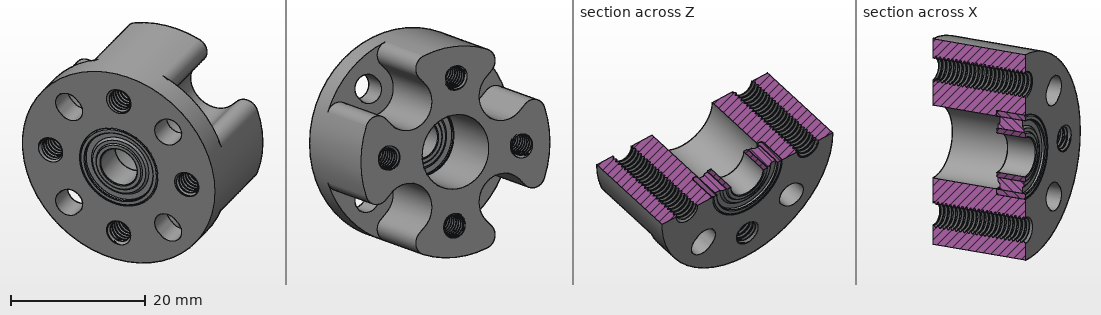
import cadquery as cq
import math

hub_radius = 16.0
hub_length = 16.0
flange_thickness = 4.0

bolt_pattern_side = 16.0
pitch_radius = bolt_pattern_side / math.sqrt(2)

notch_radius = 4.0
lobe_edge_radius = 2.0

slot_radius = 2.0
slot_travel = 0.65

thread_minor_radius = 1.63
thread_major_radius = 2.0
countersink_radius = 2.0
thread_pitch = 0.7
thread_root_flat = thread_pitch / 8
thread_mouth = thread_pitch * 0.8
thread_overlap = 0.05

bearing_radius = 6.5
bearing_width = 5.0
bearing_chamfer = 0.22
outer_ring_mouth_chamfer = 0.13
shield_radius = 5.63
inner_ring_radius = 3.87
inner_ring_chamfer = 0.2
bore_radius = 3.0
bore_chamfer = 0.13

shield_depth = 0.5
shield_lip_depth = 0.2
shield_cone_outer_radius = 4.77
shield_cone_inner_radius = 4.4

quarter_angles = [0, 90, 180, 270]
diagonal_angle = 45


def around_axis(shape, angle):
    """Turn a shape about the Y axis of the part."""
    return shape.rotate((0, 0, 0), (0, 1, 0), angle)


def make_notch():
    """U-shaped notch along +X whose mouth is rounded into the rim of the hub."""
    edge_center_z = notch_radius + lobe_edge_radius
    edge_center_distance = hub_radius - lobe_edge_radius
    edge_center_x = math.sqrt(edge_center_distance**2 - edge_center_z**2)
    edge_angle = math.atan2(edge_center_z, edge_center_x)

    rim_x = hub_radius * math.cos(edge_angle)
    rim_z = hub_radius * math.sin(edge_angle)
    middle_angle = (edge_angle - math.pi / 2) / 2
    middle_x = edge_center_x + lobe_edge_radius * math.cos(middle_angle)
    middle_z = edge_center_z + lobe_edge_radius * math.sin(middle_angle)
    outside_x = 2 * hub_radius - rim_x
    length = hub_length - flange_thickness

    return (
        cq.Workplane("XZ", origin=(0, flange_thickness, 0))
        .moveTo(pitch_radius, notch_radius)
        .lineTo(edge_center_x, notch_radius)
        .threePointArc((middle_x, middle_z), (rim_x, rim_z))
        .lineTo(outside_x, rim_z)
        .lineTo(outside_x, -rim_z)
        .lineTo(rim_x, -rim_z)
        .threePointArc((middle_x, -middle_z), (edge_center_x, -notch_radius))
        .lineTo(pitch_radius, -notch_radius)
        .threePointArc((pitch_radius - notch_radius, 0), (pitch_radius, notch_radius))
        .close()
        .extrude(-length)
    )


def make_slot():
    """Radial slot along +X through the flange."""
    return (
        cq.Workplane("XZ")
        .center(pitch_radius + slot_travel / 2, 0)
        .slot2D(slot_travel + 2 * slot_radius, 2 * slot_radius)
        .extrude(-flange_thickness)
    )


def make_tapped_hole():
    """Right-hand threaded through hole along Y on the +X side, countersunk at the flange face."""
    run_out = 2 * thread_pitch
    helix = cq.Wire.makeHelix(thread_pitch, hub_length + 2 * run_out, thread_minor_radius)
    base_radius = thread_minor_radius - thread_overlap
    groove = (
        cq.Workplane("XZ")
        .polyline([
            (base_radius, -thread_mouth / 2),
            (thread_major_radius, -thread_root_flat / 2),
            (thread_major_radius, thread_root_flat / 2),
            (base_radius, thread_mouth / 2),
        ])
        .close()
        .sweep(cq.Workplane(helix), isFrenet=True)
        .translate((0, 0, -run_out))
    )
    hub_span = cq.Workplane("XY").circle(2 * thread_major_radius).extrude(hub_length)
    drill = cq.Workplane("XY").circle(thread_minor_radius).extrude(hub_length)
    countersink_depth = countersink_radius - thread_minor_radius
    countersink = cq.Solid.makeCone(countersink_radius, thread_minor_radius, countersink_depth)
    cutter = drill.union(groove.intersect(hub_span)).union(cq.Workplane(countersink))
    return cutter.rotate((0, 0, 0), (1, 0, 0), -90).translate((pitch_radius, 0, 0))


def make_housing():
    """Flanged hub with four lobes, a bearing seat and its bolt holes."""
    housing = cq.Workplane("XZ").circle(hub_radius).extrude(-hub_length)
    bearing_seat = cq.Workplane("XZ").circle(bearing_radius).extrude(-bearing_width)
    clearance_bore = cq.Workplane("XZ").circle(shield_radius).extrude(-hub_length)
    housing = housing.cut(bearing_seat).cut(clearance_bore)

    notch = make_notch()
    slot = make_slot()
    tapped_hole = make_tapped_hole()
    for angle in quarter_angles:
        housing = housing.cut(around_axis(notch, angle + diagonal_angle))
        housing = housing.cut(around_axis(slot, angle + diagonal_angle))
    for angle in quarter_angles:
        housing = housing.cut(around_axis(tapped_hole, angle), clean=False)
    return housing


def revolve_symmetric(front_half):
    """Revolve a ring section about Y from the (radius, y) points of its front half, inside to outside."""
    rear_half = [(radius, bearing_width - y) for radius, y in reversed(front_half)]
    return cq.Workplane("XY").polyline(front_half + rear_half).close().revolve(360, (0, 0), (0, 1))


def make_outer_ring():
    """Outer ring with chamfered rim and mouth edges."""
    return revolve_symmetric([
        (shield_radius, outer_ring_mouth_chamfer),
        (shield_radius + outer_ring_mouth_chamfer, 0),
        (bearing_radius - bearing_chamfer, 0),
        (bearing_radius, bearing_chamfer),
    ])


def make_inner_ring():
    """Inner ring with chamfered bore and rim edges."""
    return revolve_symmetric([
        (bore_radius, bore_chamfer),
        (bore_radius + bore_chamfer, 0),
        (inner_ring_radius - inner_ring_chamfer, 0),
        (inner_ring_radius, inner_ring_chamfer),
    ])


def make_shield():
    """Closed ring between the inner and outer rings, dished on both faces."""
    return revolve_symmetric([
        (inner_ring_radius, shield_lip_depth),
        (shield_cone_inner_radius, shield_lip_depth),
        (shield_cone_outer_radius, shield_depth),
        (shield_radius, shield_depth),
    ])


housing = make_housing()
outer_ring = make_outer_ring()
inner_ring = make_inner_ring()
shield = make_shield()

result = cq.Compound.makeCompound([housing.val(), outer_ring.val(), inner_ring.val(), shield.val()])